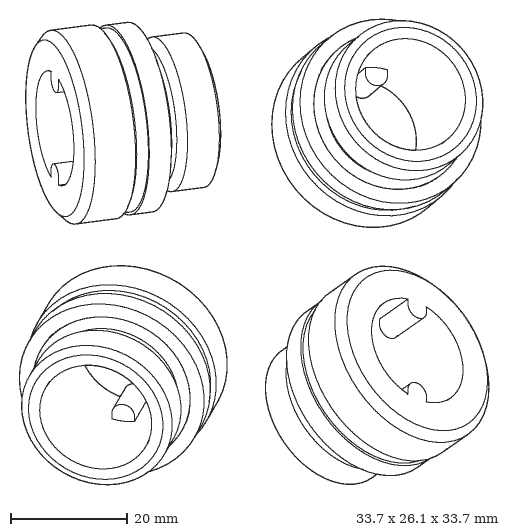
import cadquery as cq

head_back = 9.37
flange_front = 11.5
flange_back = 15.5
neck_end = 18.05
total_length = 26.1

head_diameter = 33.7
flange_diameter = 33.0
seal_diameter = 32.0
seal_seat_diameter = 26.3
neck_diameter = 24.0
spigot_diameter = 26.9
o_ring_diameter = 28.0
bore_diameter = 20.0

head_front_chamfer = 1.5
head_back_chamfer_length = 0.5
spigot_end_chamfer_length = 0.78

o_ring_protrusion = 1.25
o_ring_section_radius = (o_ring_diameter - neck_diameter) / 4
o_ring_center_radius = (o_ring_diameter + neck_diameter) / 4
o_ring_center_y = flange_back + o_ring_protrusion - o_ring_section_radius
recess_floor_y = o_ring_center_y - o_ring_section_radius

key_width = 4.05
key_length = 8.0
key_tip_radius = 6.75
key_root_depth = 0.35
key_root_radius = bore_diameter / 2 + key_root_depth


def turn(profile):
    """Revolve a closed XY profile about the Y axis."""
    return profile.revolve(360, (0, 0, 0), (0, 1, 0))


def make_key(side):
    """A round-tipped key on the +Z (side=1) or -Z (side=-1) wall of the bore."""
    half_width = key_width / 2
    arc_center = key_tip_radius + half_width
    return (
        cq.Workplane("XZ")
        .moveTo(-half_width, side * key_root_radius)
        .lineTo(-half_width, side * arc_center)
        .threePointArc((0, side * key_tip_radius), (half_width, side * arc_center))
        .lineTo(half_width, side * key_root_radius)
        .close()
        .extrude(-key_length)
    )


def make_housing():
    """Turned housing: head, seal groove, flange, O-ring neck and spigot."""
    bore_radius = bore_diameter / 2
    head_radius = head_diameter / 2
    seat_radius = seal_seat_diameter / 2
    flange_radius = flange_diameter / 2
    recess_radius = o_ring_diameter / 2
    neck_radius = neck_diameter / 2
    spigot_radius = spigot_diameter / 2
    spigot_front = neck_end + spigot_radius - neck_radius
    outline = [
        (bore_radius, 0),
        (head_radius - head_front_chamfer, 0),
        (head_radius, head_front_chamfer),
        (head_radius, head_back - head_back_chamfer_length),
        (seal_diameter / 2, head_back),
        (seat_radius, head_back),
        (seat_radius, flange_front),
        (flange_radius, flange_front),
        (flange_radius, flange_back),
        (recess_radius, flange_back),
        (recess_radius, recess_floor_y),
        (neck_radius, recess_floor_y),
        (neck_radius, neck_end),
        (spigot_radius, spigot_front),
        (spigot_radius, total_length - spigot_end_chamfer_length),
        (neck_radius, total_length),
        (bore_radius, total_length),
    ]
    body = turn(cq.Workplane("XY").polyline(outline).close())
    for side in (1, -1):
        body = body.union(make_key(side))
    return body


def make_seal():
    """Flat seal ring filling the groove between the head and the flange."""
    inner_radius = seal_seat_diameter / 2
    outer_radius = seal_diameter / 2
    profile = (
        cq.Workplane("XY")
        .moveTo(inner_radius, head_back)
        .lineTo(outer_radius, head_back)
        .lineTo(outer_radius, flange_front)
        .lineTo(inner_radius, flange_front)
        .close()
    )
    return turn(profile)


def make_o_ring():
    """Round-section ring on the neck, partly sunk into the flange."""
    section = cq.Workplane("XY").moveTo(o_ring_center_radius, o_ring_center_y).circle(o_ring_section_radius)
    return turn(section)


housing = make_housing()
seal = make_seal()
o_ring = make_o_ring()

result = cq.Compound.makeCompound([housing.val(), seal.val(), o_ring.val()])